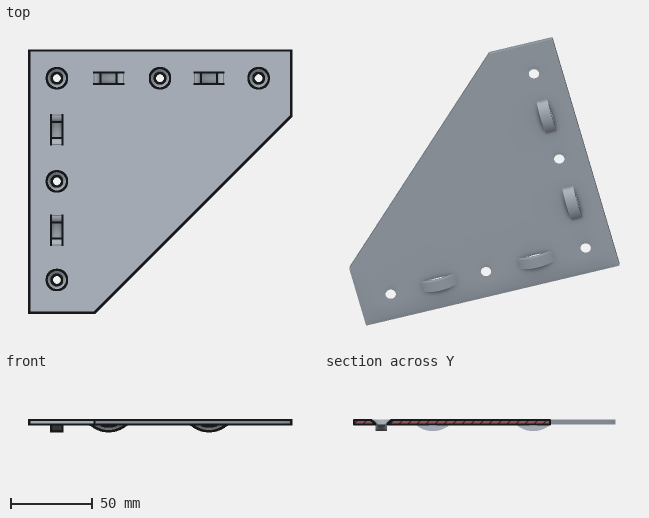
import cadquery as cq
import math

side = 160.0
end_width = 40.0
thickness = 2.9

row_inset = 17.0
hole_stations = (row_inset, 79.8, 140.0)
strap_stations = (48.5, 109.8)

hole_diameter = 6.2
countersink_diameter = 12.5

strap_width = 6.9
strap_drop = 4.2
strap_radius = 16.0
strap_root_radius = 3.2
strap_thickness = 3.0
slot_length = 18.0
slot_floor_radius = 11.2

corner_x = -side / 2
corner_y = side / 2


def make_plate():
    half = side / 2
    cut = half - end_width
    outline = [
        (-half, -half),
        (-cut, -half),
        (half, cut),
        (half, half),
        (-half, half),
    ]
    return cq.Workplane("XY").polyline(outline).close().extrude(-thickness)


def make_countersunk_hole():
    return (
        cq.Workplane("XY")
        .circle(countersink_diameter / 2)
        .workplane(offset=-thickness)
        .circle(hole_diameter / 2)
        .loft()
    )


def extrude_across_strap(profile):
    """Extrude a closed XZ profile over the strap width, centred on Y = 0."""
    return profile.extrude(strap_width / 2, both=True)


def make_strap():
    """Bowed strip along X, blended into the plate underside by root arcs."""
    bottom = -thickness - strap_drop
    bow_center_z = bottom + strap_radius
    root_center_z = -thickness - strap_root_radius
    center_distance = strap_radius + strap_root_radius
    center_rise = bow_center_z - root_center_z
    root_x = math.sqrt(center_distance**2 - center_rise**2)
    root_angle = math.acos(center_rise / center_distance)

    join_x = strap_radius * math.sin(root_angle)
    join_z = bow_center_z - strap_radius * math.cos(root_angle)
    mid_x = root_x - strap_root_radius * math.sin(root_angle / 2)
    mid_z = root_center_z + strap_root_radius * math.cos(root_angle / 2)

    profile = (
        cq.Workplane("XZ")
        .moveTo(-root_x, -thickness)
        .threePointArc((-mid_x, mid_z), (-join_x, join_z))
        .threePointArc((0, bottom), (join_x, join_z))
        .threePointArc((mid_x, mid_z), (root_x, -thickness))
        .close()
    )
    return extrude_across_strap(profile)


def make_slot():
    """Opening above the strap: rounded ends and a rounded floor."""
    floor_bottom = strap_thickness - thickness - strap_drop
    floor_center_z = floor_bottom + slot_floor_radius
    floor_x = math.sqrt(slot_floor_radius**2 - (floor_center_z + thickness) ** 2)

    end_x = slot_length / 2
    end_run = end_x - floor_x
    end_radius = (end_run**2 + thickness**2) / (2 * thickness)
    half_sweep = math.atan2(thickness, end_run)
    mid_x = end_x - end_radius * math.sin(half_sweep)
    mid_z = -end_radius * (1 - math.cos(half_sweep))

    profile = (
        cq.Workplane("XZ")
        .moveTo(-end_x, 0)
        .threePointArc((-mid_x, mid_z), (-floor_x, -thickness))
        .threePointArc((0, floor_bottom), (floor_x, -thickness))
        .threePointArc((mid_x, mid_z), (end_x, 0))
        .close()
    )
    return extrude_across_strap(profile)


def place_on_x_row(body, station):
    return body.translate((corner_x + station, corner_y - row_inset, 0))


def place_on_y_row(body, station):
    turned = body.rotate((0, 0, 0), (0, 0, 1), 90)
    return turned.translate((corner_x + row_inset, corner_y - station, 0))


result = make_plate()
hole = make_countersunk_hole()
strap = make_strap()
slot = make_slot()

for place in (place_on_x_row, place_on_y_row):
    for station in strap_stations:
        result = result.union(place(strap, station)).cut(place(slot, station))

for station in hole_stations:
    result = result.cut(place_on_x_row(hole, station))
for station in hole_stations[1:]:
    result = result.cut(place_on_y_row(hole, station))